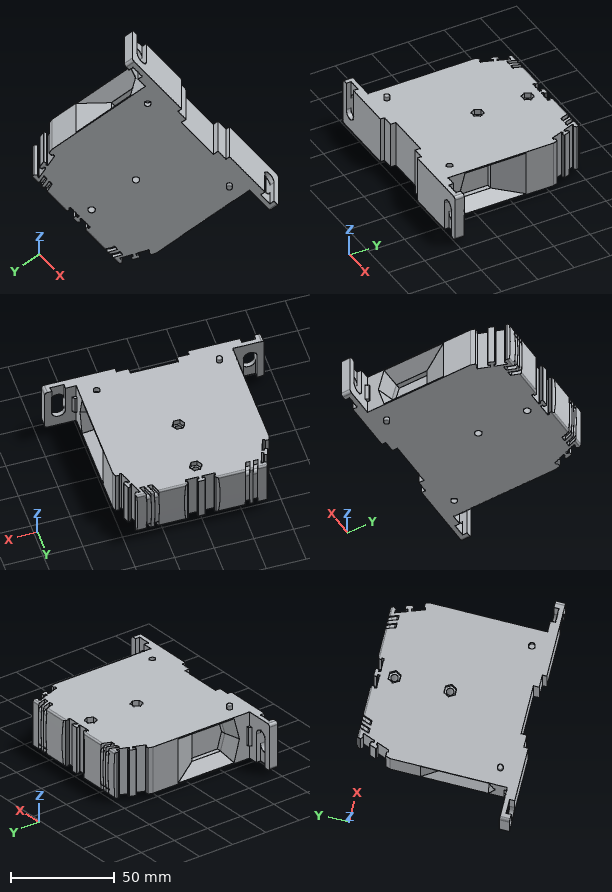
import cadquery as cq
import math

FLANGE_LENGTH = 111.0
FLANGE_HEIGHT = 5.1
FLANGE_CORNER_RADIUS = 1.4
THICKNESS = 25.5
HALF_THICKNESS = THICKNESS / 2
BODY_HALF_WIDTH = 39.5
TOTAL_HEIGHT = 81.6

RECESS_OUTER_WIDTH = 36.4
RECESS_OUTER_DEPTH = 2.2
RECESS_INNER_WIDTH = 24.2
RECESS_INNER_DEPTH = FLANGE_HEIGHT

SHOULDER_START = 63.3
SHOULDER_TOP = 65.7
SHOULDER_OUTER_X = 38.7
SHOULDER_INNER_X = 37.0
NOTCH_OUTER_X = 36.5
NOTCH_FLOOR = 64.9
SIDE_SLOPE_ANGLE = 20.0
SLOPE_FOOT_X = 35.6
NECK_FLOOR = 78.1

HOLDER_HEAD_WIDTH = 4.0
HOLDER_NECK_WIDTH = 1.8
HOLDER_NECK_HEIGHT = 1.0
HOLDER_HEIGHT = 2.9
HOLDER_CORNER = 0.3
HOLDER_ROOT = 0.7
SIDE_HOLDER_Y = 71.8

RAIL_EDGE_Y = 80.4
RAIL_TOP_RADIUS = 0.9
RAIL_CROWN = 0.3
RAIL_OUTER_X = 33.4
RAIL_INNER_X = 6.7
RAIL_TOP_OUTER_X = 32.6
RAIL_TOP_INNER_X = 9.0
INNER_BEVEL = (7.1, 80.8)
INNER_HOOK_X = 7.4
INNER_HOOK_Y = 79.1
OUTER_HOOK_ROOT_Y = 78.7
OUTER_HOOK_ROOT_X = 31.4
OUTER_HOOK_LIP = (32.4, 78.3)
OUTER_HOOK_CORNER_Y = 79.5

GROOVE_WIDTH = 2.2
GROOVE_DEPTH = 2.2
GROOVE_FOOT_Y = 76.3
GROOVE_END_RISE = 0.8
GROOVE_FOOT_X = (28.7, 24.8)
GROOVE_TOP_RADIUS = 1.8

BORE_DIAMETER = 3.5
NUT_ACROSS_FLATS = 5.4
NUT_DEPTH = 3.0
BORE_Y = (43.4, 71.0)

SLOT_X = 48.4
SLOT_WIDTH = 6.9
SLOT_REACH = 6.4

FUNNEL_MOUTH = [(48.2, 12.1), (14.4, 12.1), (11.2, 0), (14.4, -12.1), (48.2, -12.1)]
FUNNEL_THROAT = [(33.3, 8.9), (16.1, 8.9), (13.5, 0), (16.1, -8.9), (33.3, -8.9)]
FUNNEL_DEPTH = 8.7
THROAT_DEPTH = 2.5

GUSSET_THICKNESS = 10.2
GUSSET_HEIGHT = 1.4
GUSSET_FOOT = 2.1
GUSSET_TOP = 1.0

PIN_X = 31.0
PIN_Y = 10.7
PIN_DIAMETER = 2.9
PIN_PROJECTION = 2.2
PIN_EMBEDDED = 3.0
PIN_TIP_RADIUS = 0.2
SOCKET_DIAMETER = 3.2
SOCKET_DEPTH = 3.0


def plate(points):
    """Extrude a closed XY outline over the full housing thickness."""
    return cq.Workplane("XY").polyline(points).close().extrude(HALF_THICKNESS, both=True)


def mirrored(solid):
    """The solid together with its mirror image across the plane X = 0."""
    return solid.union(solid.mirror("YZ"))


def slope_x(y):
    """Distance of the sloping side from the middle plane at height y."""
    return SLOPE_FOOT_X - (y - NOTCH_FLOOR) * math.tan(math.radians(SIDE_SLOPE_ANGLE))


def half_body():
    """The -X half of the body and flange."""
    return plate([
        (0, RECESS_INNER_DEPTH),
        (-RECESS_INNER_WIDTH / 2, RECESS_INNER_DEPTH),
        (-RECESS_INNER_WIDTH / 2, RECESS_OUTER_DEPTH),
        (-RECESS_OUTER_WIDTH / 2, RECESS_OUTER_DEPTH),
        (-RECESS_OUTER_WIDTH / 2, 0),
        (-FLANGE_LENGTH / 2, 0),
        (-FLANGE_LENGTH / 2, FLANGE_HEIGHT),
        (-BODY_HALF_WIDTH, FLANGE_HEIGHT),
        (-BODY_HALF_WIDTH, SHOULDER_START),
        (-SHOULDER_OUTER_X, SHOULDER_TOP),
        (-SHOULDER_INNER_X, SHOULDER_TOP),
        (-NOTCH_OUTER_X, NOTCH_FLOOR),
        (-SLOPE_FOOT_X, NOTCH_FLOOR),
        (-slope_x(NECK_FLOOR), NECK_FLOOR),
        (0, NECK_FLOOR),
    ]).edges("|Y and <X").fillet(FLANGE_CORNER_RADIUS)


def holder():
    """T-shaped holder standing on the origin and pointing along +Y."""
    head = HOLDER_HEAD_WIDTH / 2
    neck = HOLDER_NECK_WIDTH / 2
    bar = plate([
        (-head, HOLDER_NECK_HEIGHT),
        (head, HOLDER_NECK_HEIGHT),
        (head, HOLDER_HEIGHT),
        (-head, HOLDER_HEIGHT),
    ]).edges("|Z").chamfer(HOLDER_CORNER)
    stem = plate([
        (-neck, -HOLDER_ROOT),
        (neck, -HOLDER_ROOT),
        (neck, HOLDER_NECK_HEIGHT),
        (-neck, HOLDER_NECK_HEIGHT),
    ])
    return stem.union(bar)


def side_holder():
    """Holder standing square on the -X sloping side."""
    tilt = 90 - SIDE_SLOPE_ANGLE
    turned = holder().rotate((0, 0, 0), (0, 0, 1), tilt)
    return turned.translate((-slope_x(SIDE_HOLDER_Y), SIDE_HOLDER_Y, 0))


def label_rail():
    """The -X label rail with hooked ends, a crowned top and rounded top edges."""
    lip_x, lip_y = OUTER_HOOK_LIP
    bevel_x, bevel_y = INNER_BEVEL
    rail = plate([
        (-slope_x(NECK_FLOOR), NECK_FLOOR),
        (-slope_x(OUTER_HOOK_ROOT_Y), OUTER_HOOK_ROOT_Y),
        (-OUTER_HOOK_ROOT_X, OUTER_HOOK_ROOT_Y),
        (-lip_x, lip_y),
        (-RAIL_OUTER_X, OUTER_HOOK_CORNER_Y),
        (-RAIL_OUTER_X, RAIL_EDGE_Y),
        (-RAIL_TOP_OUTER_X, TOTAL_HEIGHT),
        (-RAIL_TOP_INNER_X, TOTAL_HEIGHT),
        (-bevel_x, bevel_y),
        (-RAIL_INNER_X, RAIL_EDGE_Y),
        (-RAIL_INNER_X, INNER_HOOK_Y),
        (-INNER_HOOK_X, INNER_HOOK_Y),
        (-INNER_HOOK_X, NECK_FLOOR),
    ])
    return rail.intersect(crowned_block(HALF_THICKNESS, RAIL_TOP_RADIUS))


def crowned_block(half_z, corner_radius):
    """Block around the -X rail with an arched top that is rounded into its two Z faces."""
    return (
        cq.Workplane("YZ", origin=(-BODY_HALF_WIDTH, 0, 0))
        .moveTo(0, -half_z)
        .lineTo(TOTAL_HEIGHT - RAIL_CROWN, -half_z)
        .threePointArc((TOTAL_HEIGHT, 0), (TOTAL_HEIGHT - RAIL_CROWN, half_z))
        .lineTo(0, half_z)
        .close()
        .extrude(BODY_HALF_WIDTH)
        .edges("|X")
        .edges(">Y")
        .fillet(corner_radius)
    )


def grooves(foot_x):
    """Slanted grooves in both Z faces, sloping up at the foot and rounded over at the top."""
    lean = (TOTAL_HEIGHT - GROOVE_FOOT_Y) * math.tan(math.radians(SIDE_SLOPE_ANGLE))
    half_width = GROOVE_WIDTH / 2
    slanted = plate([
        (-foot_x - half_width, GROOVE_FOOT_Y),
        (-foot_x + half_width, GROOVE_FOOT_Y),
        (-foot_x + half_width + lean, TOTAL_HEIGHT),
        (-foot_x - half_width + lean, TOTAL_HEIGHT),
    ])
    floor_z = HALF_THICKNESS - GROOVE_DEPTH
    foot = (
        cq.Workplane("YZ", origin=(-BODY_HALF_WIDTH, 0, 0))
        .polyline([
            (GROOVE_FOOT_Y, -HALF_THICKNESS),
            (GROOVE_FOOT_Y + GROOVE_END_RISE, -floor_z),
            (GROOVE_FOOT_Y + GROOVE_END_RISE, floor_z),
            (GROOVE_FOOT_Y, HALF_THICKNESS),
        ])
        .close()
        .extrude(BODY_HALF_WIDTH)
    )
    return slanted.cut(crowned_block(floor_z, GROOVE_TOP_RADIUS)).cut(foot)


def funnel():
    """Five-sided tapering funnel in the -X side, ending in a straight throat."""
    mouth_plane = cq.Workplane("YZ", origin=(-BODY_HALF_WIDTH, 0, 0))
    taper = (
        mouth_plane.polyline(FUNNEL_MOUTH).close()
        .workplane(offset=FUNNEL_DEPTH)
        .polyline(FUNNEL_THROAT).close()
        .loft(ruled=True)
    )
    throat = mouth_plane.polyline(FUNNEL_THROAT).close().extrude(FUNNEL_DEPTH + THROAT_DEPTH)
    return taper.union(throat)


def slot_groove(x, y, end):
    """U-shaped groove, half the flange deep, open toward the Z side given by end."""
    radius = SLOT_WIDTH / 2
    centre_z = -end * (SLOT_REACH - radius)
    length = HALF_THICKNESS - end * centre_z
    depth = FLANGE_HEIGHT / 2
    run = cq.Workplane("XY", origin=(x, y, centre_z + end * length / 2)).box(SLOT_WIDTH, depth, length)
    round_end = cq.Workplane("XZ", origin=(x, y + depth / 2, centre_z)).circle(radius).extrude(depth)
    return run.union(round_end)


def gusset():
    """Small sloping block in the corner of the -X side and the flange."""
    return (
        cq.Workplane("XY", origin=(-BODY_HALF_WIDTH, FLANGE_HEIGHT, 0))
        .polyline([(0, 0), (-GUSSET_FOOT, 0), (-GUSSET_TOP, GUSSET_HEIGHT), (0, GUSSET_HEIGHT)])
        .close()
        .extrude(GUSSET_THICKNESS / 2, both=True)
    )


def screw_bore(y):
    """Bore through the full thickness with a hexagonal nut pocket in the +Z face."""
    bore = cq.Workplane("XY", origin=(0, y, 0)).circle(BORE_DIAMETER / 2).extrude(HALF_THICKNESS, both=True)
    nut = (
        cq.Workplane("XY", origin=(0, y, HALF_THICKNESS - NUT_DEPTH))
        .polygon(6, NUT_ACROSS_FLATS / math.cos(math.pi / 6))
        .extrude(NUT_DEPTH)
    )
    return bore.union(nut)


def face_hole(side, face, diameter, depth):
    """Blind hole at the pin position of one X side, sunk into the +Z (face 1) or -Z (face -1) face."""
    return (
        cq.Workplane("XY", origin=(side * PIN_X, PIN_Y, face * HALF_THICKNESS))
        .circle(diameter / 2)
        .extrude(-face * depth)
    )


def make_housing():
    """Terminal block housing with its mounting flange and every opening."""
    body = mirrored(half_body()).union(holder().translate((0, NECK_FLOOR, 0)))
    for feature in (side_holder(), label_rail(), gusset()):
        body = body.union(mirrored(feature))
    body = body.cut(mirrored(funnel()))
    for foot_x in GROOVE_FOOT_X:
        body = body.cut(mirrored(grooves(foot_x)))
    for y in BORE_Y:
        body = body.cut(screw_bore(y))
    for side in (-1, 1):
        body = body.cut(slot_groove(side * SLOT_X, FLANGE_HEIGHT / 4, -side))
        body = body.cut(slot_groove(side * SLOT_X, FLANGE_HEIGHT * 3 / 4, side))
        body = body.cut(face_hole(side, -side, PIN_DIAMETER, PIN_EMBEDDED))
        body = body.cut(face_hole(side, side, SOCKET_DIAMETER, SOCKET_DEPTH))
    return body


def make_pin(side):
    """Pin standing out of the +Z face at the -X side, or out of the -Z face at the +X side."""
    pin = (
        cq.Workplane("XY", origin=(0, 0, HALF_THICKNESS - PIN_EMBEDDED))
        .circle(PIN_DIAMETER / 2)
        .extrude(PIN_EMBEDDED + PIN_PROJECTION)
        .faces(">Z").edges().fillet(PIN_TIP_RADIUS)
    )
    if side > 0:
        pin = pin.mirror("XY")
    return pin.translate((side * PIN_X, PIN_Y, 0))


housing = make_housing().solids()
pins = [make_pin(side) for side in (-1, 1)]

result = cq.Compound.makeCompound([housing.val(), *[pin.val() for pin in pins]])